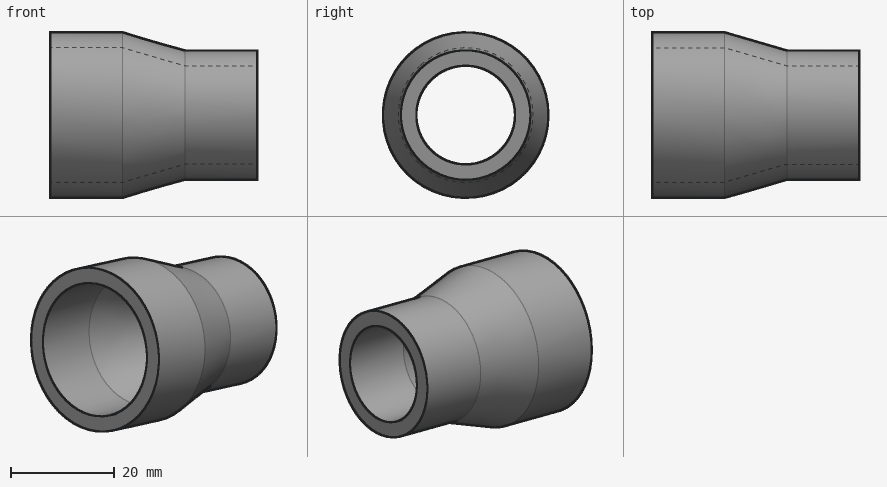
import cadquery as cq

total_length = 40.0
end_length = 14.0
taper_end = total_length - end_length

large_outer_diameter = 32.0
large_bore_diameter = 26.0
small_outer_diameter = 25.0
small_bore_diameter = 19.0


def stepped_solid(large_diameter, small_diameter):
    """Solid of revolution about X: large cylinder, cone, small cylinder."""
    large_radius = large_diameter / 2
    small_radius = small_diameter / 2
    profile = (
        cq.Workplane("XY")
        .moveTo(0, 0)
        .lineTo(0, large_radius)
        .lineTo(end_length, large_radius)
        .lineTo(taper_end, small_radius)
        .lineTo(total_length, small_radius)
        .lineTo(total_length, 0)
        .close()
    )
    return profile.revolve(360, (0, 0, 0), (1, 0, 0))


body = stepped_solid(large_outer_diameter, small_outer_diameter)
bore = stepped_solid(large_bore_diameter, small_bore_diameter)
result = body.cut(bore)